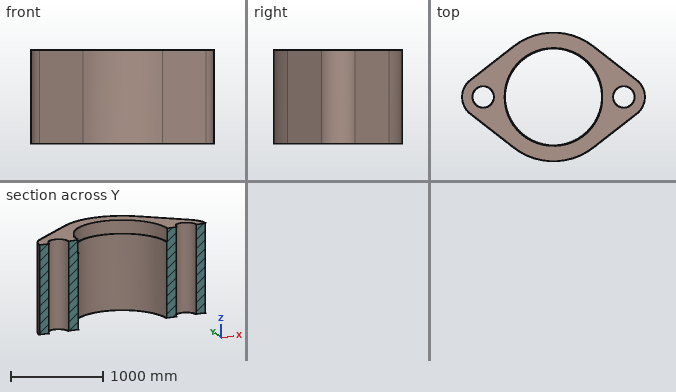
import cadquery as cq
import math

length = 1980.0
width = 1394.0
height = 1015.0

end_radius = 230.0
bolt_diameter = 230.0
bolt_offset = length / 2 - end_radius
center_radius = width / 2

bore_diameter = 1045.0
recess_diameter = 1061.0
recess_depth = 152.0

normal_angle = math.asin((center_radius - end_radius) / bolt_offset)
normal_x = math.sin(normal_angle)
normal_y = math.cos(normal_angle)
center_x = center_radius * normal_x
center_y = center_radius * normal_y
end_x = bolt_offset + end_radius * normal_x
end_y = end_radius * normal_y


def flange_body():
    """Solid two-bolt flange outline, extruded up from Z = 0."""
    return (
        cq.Workplane("XY")
        .moveTo(-center_x, center_y)
        .threePointArc((0, center_radius), (center_x, center_y))
        .lineTo(end_x, end_y)
        .threePointArc((length / 2, 0), (end_x, -end_y))
        .lineTo(center_x, -center_y)
        .threePointArc((0, -center_radius), (-center_x, -center_y))
        .lineTo(-end_x, -end_y)
        .threePointArc((-length / 2, 0), (-end_x, end_y))
        .close()
        .extrude(height)
    )


def cut_bore(body):
    """Cut the through bore and its top recess."""
    return body.faces(">Z").workplane(origin=(0, 0, height)).cboreHole(
        bore_diameter, recess_diameter, recess_depth
    )


def cut_bolt_holes(body):
    """Cut one through hole at each rounded end."""
    return (
        body.faces(">Z")
        .workplane(origin=(0, 0, height))
        .pushPoints([(-bolt_offset, 0), (bolt_offset, 0)])
        .hole(bolt_diameter)
    )


result = cut_bolt_holes(cut_bore(flange_body()))